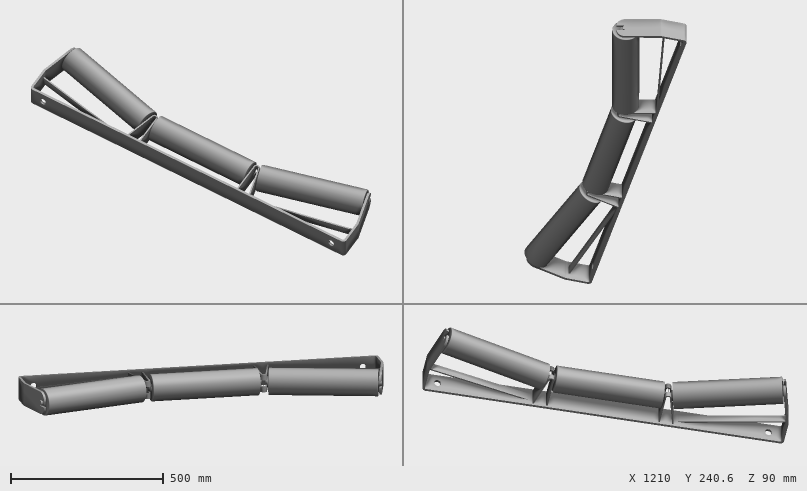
import cadquery as cq
import math


frame_length = 1210.0
frame_height = 76.0
frame_thickness = 8.0
frame_corner_radius = 12.0
trough_angle = 15.0

arm_end_distance = 30.0
arm_end_radius = 28.0
arm_bend_radius = 12.0

mount_hole_spacing = 1107.0
mount_hole_width = 20.0
mount_hole_height = 28.0

roller_diameter = 90.0
roller_length = 360.0
roller_edge_radius = 1.8
hub_diameter = 36.0
axle_diameter = 20.0
bracket_gap = 5.0
arm_gap = 4.0
centre_roller_y = 100.0
side_roller_x = 390.0
side_roller_y = 151.0

bracket_thickness = 5.0
bracket_height = 60.0
bracket_top_y = 127.0
bracket_bend_radius = 10.0

brace_thickness = 5.0
brace_height = 30.0
brace_top_y = 79.0
brace_foot_x = 250.0

sin_trough = math.sin(math.radians(trough_angle))
cos_trough = math.cos(math.radians(trough_angle))
half_length = frame_length / 2
wall_inner_x = half_length - frame_thickness

bracket_near = roller_length / 2 + bracket_gap
bracket_far = bracket_near + bracket_thickness
arm_inner = roller_length / 2 + arm_gap
arm_outer = arm_inner + frame_thickness


def side_point(distance, climb):
    """Point at a distance outwards along the right roller's axis and a climb square to it."""
    return (
        side_roller_x + distance * cos_trough - climb * sin_trough,
        side_roller_y + distance * sin_trough + climb * cos_trough,
    )


def side_point_at_x(distance, x):
    """Point at the given X on the tilted face that crosses the right roller's axis at a distance."""
    return side_point(distance, (side_roller_x + distance * cos_trough - x) / sin_trough)


def side_point_at_y(distance, y):
    """Point at the given Y on the tilted face that crosses the right roller's axis at a distance."""
    return side_point(distance, (y - side_roller_y - distance * sin_trough) / cos_trough)


def to_side_roller(body):
    """Move a body from the X axis onto the right roller's axis."""
    tilted = body.rotate((0, 0, 0), (0, 0, 1), trough_angle)
    return tilted.translate((side_roller_x, side_roller_y, 0))


def to_left(body):
    return body.mirror("YZ")


def prism(outline, height):
    """Extrude an XY outline to a height centred on Z = 0."""
    return cq.Workplane("XY").polyline(outline).close().extrude(height / 2, both=True)


def round_corners(body, corners, radius):
    """Fillet the edges along Z that stand on the given XY corners."""
    for x, y in corners:
        body = body.edges("|Z").edges(cq.NearestToPointSelector((x, y, 0))).fillet(radius)
    return body


def rod(start, end, diameter):
    """Cylinder on the X axis."""
    return cq.Workplane("YZ", origin=(start, 0, 0)).circle(diameter / 2).extrude(end - start)


def axle_slot(start, end):
    """Slot cutter on the X axis, open towards +Y, whose round bottom seats the axle."""
    opening_length = roller_diameter / 2
    opening = (
        cq.Workplane("YZ", origin=(start, 0, 0))
        .center(opening_length / 2, 0)
        .rect(opening_length, axle_diameter)
        .extrude(end - start)
    )
    return rod(start, end, axle_diameter).union(opening)


def make_roller(hub_end, axle_end):
    """Roller on the X axis whose left end fits a bracket; its right hub and axle stop as given."""
    half_roller = roller_length / 2
    shell = rod(-half_roller, half_roller, roller_diameter).edges("%CIRCLE").fillet(roller_edge_radius)
    hubs = rod(-bracket_near, hub_end, hub_diameter)
    axle = rod(-bracket_far, axle_end, axle_diameter)
    return shell.union(hubs).union(axle)


def make_frame():
    """Base strip bent up at both ends into a side wall and a tilted, slotted arm."""
    outer_corner = (half_length, 0)
    inner_corner = (wall_inner_x, frame_thickness)
    outer_bend = side_point_at_x(arm_outer, half_length)
    inner_bend = side_point_at_x(arm_inner, wall_inner_x)
    arm_tip_outer = side_point(arm_outer, arm_end_distance)
    arm_tip_inner = side_point(arm_inner, arm_end_distance)
    right_side = [outer_corner, outer_bend, arm_tip_outer, arm_tip_inner, inner_bend, inner_corner]
    left_side = [(-x, y) for x, y in reversed(right_side)]
    frame = prism(right_side + left_side, frame_height)

    arm_tip_x = (arm_tip_outer[0] + arm_tip_inner[0]) / 2
    arm_tip_y = (arm_tip_outer[1] + arm_tip_inner[1]) / 2
    for x in (-arm_tip_x, arm_tip_x):
        for z in (-frame_height / 2, frame_height / 2):
            frame = frame.edges(cq.NearestToPointSelector((x, arm_tip_y, z))).fillet(arm_end_radius)

    for corner, radius in (
        (outer_corner, frame_corner_radius),
        (inner_corner, frame_corner_radius - frame_thickness),
        (outer_bend, arm_bend_radius),
    ):
        x, y = corner
        frame = round_corners(frame, [(-x, y), (x, y)], radius)

    slot = to_side_roller(axle_slot(arm_inner, arm_outer))
    frame = frame.cut(slot).cut(to_left(slot))

    mount_holes = (
        cq.Workplane("XZ")
        .pushPoints([(-mount_hole_spacing / 2, 0), (mount_hole_spacing / 2, 0)])
        .slot2D(mount_hole_height, mount_hole_width, 90)
        .extrude(-frame_thickness)
    )
    return frame.cut(mount_holes)


def make_bracket():
    """Right inner bracket: an upright and a tilted leg joined by a folded top, both slotted."""
    inner_top_y = bracket_top_y - bracket_thickness
    upright_top = (bracket_near, bracket_top_y)
    tilted_top = side_point_at_y(-bracket_near, bracket_top_y)
    upright_inner_top = (bracket_far, inner_top_y)
    tilted_inner_top = side_point_at_y(-bracket_far, inner_top_y)
    bracket = prism(
        [
            (bracket_near, frame_thickness),
            upright_top,
            tilted_top,
            side_point_at_y(-bracket_near, frame_thickness),
            side_point_at_y(-bracket_far, frame_thickness),
            tilted_inner_top,
            upright_inner_top,
            (bracket_far, frame_thickness),
        ],
        bracket_height,
    )
    inner_bend_radius = bracket_bend_radius - bracket_thickness
    bracket = round_corners(bracket, [upright_inner_top, tilted_inner_top], inner_bend_radius)
    bracket = round_corners(bracket, [upright_top, tilted_top], bracket_bend_radius)

    fold_middle_x = (upright_top[0] + tilted_top[0]) / 2
    half_fold = fold_middle_x - bracket_near
    upright_slot = axle_slot(bracket_near, bracket_near + half_fold).translate((0, centre_roller_y, 0))
    tilted_slot = to_side_roller(axle_slot(-bracket_near - half_fold, -bracket_near))
    return bracket.cut(upright_slot).cut(tilted_slot)


def make_brace():
    """Right flat brace from the frame's side wall down to the base strip."""
    slope = (brace_top_y - frame_thickness) / (wall_inner_x - brace_foot_x)
    drop = brace_thickness * math.hypot(1, slope)
    return prism(
        [
            (wall_inner_x, brace_top_y),
            (brace_foot_x, frame_thickness),
            (brace_foot_x + drop / slope, frame_thickness),
            (wall_inner_x, brace_top_y - drop),
        ],
        brace_height,
    )


frame = make_frame()
centre_roller = make_roller(bracket_near, bracket_far).translate((0, centre_roller_y, 0))
side_roller = to_side_roller(make_roller(arm_inner, arm_outer))
bracket = make_bracket()
brace = make_brace()

bodies = [frame.solids().val(), centre_roller.solids().val()]
for right_body in (side_roller, bracket, brace):
    bodies.append(right_body.solids().val())
    bodies.append(to_left(right_body).solids().val())

result = cq.Compound.makeCompound(bodies)